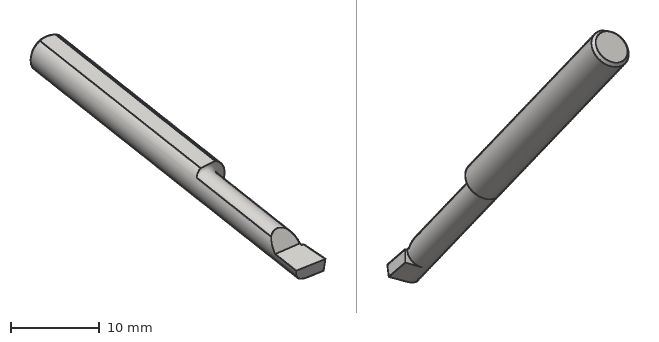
import cadquery as cq
import math

length = 50.8
shank_radius = 2.4
flat_height = 2.15
end_chamfer = 0.35
shank_length = 30.7

neck_radius = 1.85
neck_offset = -0.75
shoulder_fillet = 0.65

face_height = 0.0
face_start = 46.7
head_start = 47.05
head_side_start = 1.3
cutting_tip = 1.65
end_lean = 0.15
end_relief = 0.3


def rod(radius, rod_length):
    return cq.Workplane("YZ").circle(radius).extrude(rod_length)


def make_shank():
    return rod(shank_radius, shank_length).faces("<X").chamfer(end_chamfer)


def make_flat_cut():
    """Trim the shank and the top of the shoulder to one flat."""
    return (
        cq.Workplane("XY")
        .box(length, 2 * shank_radius, shank_radius, centered=(False, True, False))
        .translate((0, 0, flat_height))
    )


def make_neck():
    """Revolve the neck and its concave shoulder about the offset neck axis."""
    root_radius = neck_radius + shoulder_fillet
    fillet_end = shank_length + shoulder_fillet
    arc_inset = shoulder_fillet * (1 - math.sqrt(0.5))
    profile = (
        cq.Workplane("XY")
        .moveTo(shank_length, 0)
        .lineTo(shank_length, root_radius)
        .threePointArc(
            (shank_length + arc_inset, neck_radius + arc_inset),
            (fillet_end, neck_radius),
        )
        .lineTo(length, neck_radius)
        .lineTo(length, 0)
        .close()
    )
    neck = profile.revolve(360, (0, 0, 0), (1, 0, 0)).translate((0, neck_offset, 0))
    return neck.intersect(rod(shank_radius, length))


def make_head_flank():
    """Side of the head that reaches past the neck to the cutting corner."""
    flank = (
        cq.Workplane("XY")
        .workplane(offset=-neck_radius)
        .polyline([
            (head_start, neck_offset),
            (head_start, head_side_start),
            (length, cutting_tip),
            (length, neck_offset),
        ])
        .close()
        .extrude(neck_radius + face_height)
    )
    return flank.intersect(rod(shank_radius, length))


def make_face_cut():
    """Open the upper half of the head, with a 45 degree run-out into the neck."""
    rise = 2 * shank_radius
    return (
        cq.Workplane("XZ")
        .polyline([
            (face_start, face_height),
            (2 * length, face_height),
            (2 * length, face_height + rise),
            (face_start - rise, face_height + rise),
        ])
        .close()
        .extrude(2 * shank_radius, both=True)
    )


def make_end_cut():
    """Clearance plane through the cutting corner, leaning back across and below."""
    lean_angle = math.degrees(math.atan2(end_lean, cutting_tip + shank_radius))
    relief_angle = math.degrees(math.atan2(end_relief, neck_radius))
    size = 4 * shank_radius
    block = cq.Workplane("XY").box(size, size, size, centered=(False, True, True))
    return (
        block.rotate((0, 0, 0), (0, 1, 0), relief_angle)
        .rotate((0, 0, 0), (0, 0, 1), -lean_angle)
        .translate((length, cutting_tip, face_height))
    )


bar = make_shank().union(make_neck()).union(make_head_flank())
result = bar.cut(make_flat_cut()).cut(make_face_cut()).cut(make_end_cut())